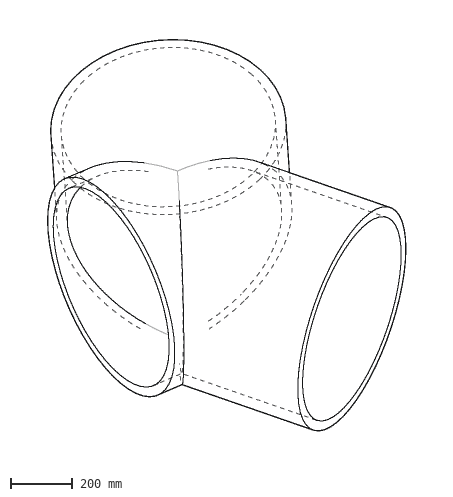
import cadquery as cq
import math

overall_width = 1481.0
outer_diameter = 763.0
inner_diameter = 695.0
inlet_length = 255.0
branch_angle = 30.0

tilt = math.radians(branch_angle)
end_face_reach = outer_diameter / 2 * math.sin(tilt)
branch_length = (overall_width / 2 - end_face_reach) / math.cos(tilt)

pipes = [
    (-90.0, inlet_length),
    (branch_angle, branch_length),
    (180.0 - branch_angle, branch_length),
]


def pipe_cylinder(diameter, angle, length):
    """Solid cylinder from the origin along a direction in the XY plane."""
    direction = cq.Vector(math.cos(math.radians(angle)), math.sin(math.radians(angle)), 0)
    return cq.Workplane(cq.Solid.makeCylinder(diameter / 2, length, cq.Vector(0, 0, 0), direction))


def joined_cylinders(diameter):
    """The three cylinders of one diameter, merged at the mitred junction."""
    body = cq.Workplane("XY")
    for angle, length in pipes:
        body = body.add(pipe_cylinder(diameter, angle, length))
    return body.combine()


trim_size = 2 * overall_width
beyond_inlet = cq.Workplane("XY").box(trim_size, trim_size, trim_size).translate(
    (0, -inlet_length - trim_size / 2, 0)
)
outer_body = joined_cylinders(outer_diameter).cut(beyond_inlet)

result = outer_body.cut(joined_cylinders(inner_diameter))